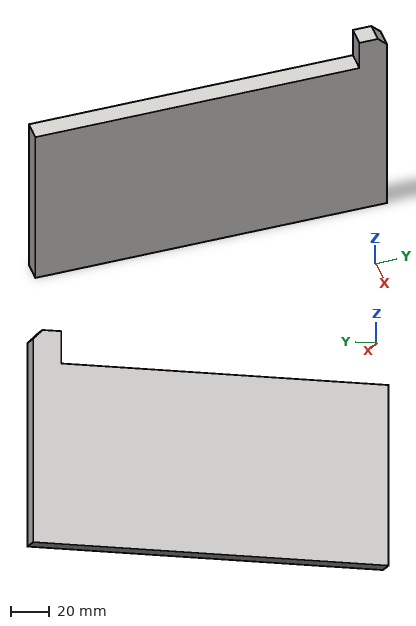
import cadquery as cq

thickness = 10.81
length = 190.0
height = 112.17

tab_width = 15.0
tab_height = 17.0
tab_chamfer = 5.0

shoulder_height = height - tab_height


def plate_profile():
    """Side outline in the YZ plane, starting at the lower -Y corner."""
    return (
        cq.Workplane("YZ")
        .moveTo(0, 0)
        .lineTo(length, 0)
        .lineTo(length, height - tab_chamfer)
        .lineTo(length - tab_chamfer, height)
        .lineTo(length - tab_width, height)
        .lineTo(length - tab_width, shoulder_height)
        .lineTo(0, shoulder_height)
        .close()
    )


result = plate_profile().extrude(thickness)